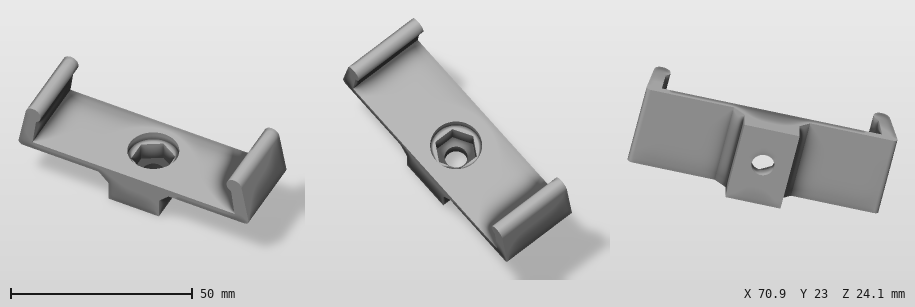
import cadquery as cq
import math

length = 70.9
width = 23.0
height = 24.1

floor_bottom = 9.0
floor_thickness = 2.35
floor_top = floor_bottom + floor_thickness
foot_length = 15.6
foot_flare = 3.0

corner_radius = 1.3
bead_radius = 2.35
bead_x = 31.0
bead_z = height - bead_radius
arm_inner_base_x = 31.1
arm_inner_top_x = 29.8

fastener_y = 0.5
screw_diameter = 6.3
nut_across_flats = 10.55
nut_depth = 5.45
recess_diameter = 14.3
recess_depth = 2.6


def extrude_across_width(profile):
    return profile.extrude(width / 2, both=True)


def point_on_circle(center_x, center_z, radius, angle):
    return (center_x + radius * math.cos(angle), center_z + radius * math.sin(angle))


def make_arm():
    """Right-hand arm: its outer face is tangent to both the lower corner and the bead."""
    corner_x = length / 2 - corner_radius
    corner_z = floor_bottom + corner_radius
    run_x = bead_x - corner_x
    run_z = bead_z - corner_z
    radius_change = bead_radius - corner_radius
    normal = math.atan2(run_z, run_x) - math.acos(-radius_change / math.hypot(run_x, run_z))
    corner_middle = (normal - math.pi / 2) / 2
    web = (
        cq.Workplane("XZ")
        .moveTo(arm_inner_base_x, floor_bottom)
        .lineTo(corner_x, floor_bottom)
        .threePointArc(
            point_on_circle(corner_x, corner_z, corner_radius, corner_middle),
            point_on_circle(corner_x, corner_z, corner_radius, normal),
        )
        .lineTo(*point_on_circle(bead_x, bead_z, bead_radius, normal))
        .lineTo(bead_x, bead_z)
        .lineTo(arm_inner_top_x, bead_z)
        .lineTo(arm_inner_base_x, floor_top)
        .close()
    )
    bead = cq.Workplane("XZ").center(bead_x, bead_z).circle(bead_radius)
    return extrude_across_width(web).union(extrude_across_width(bead))


def make_floor_and_foot():
    """Flat floor carried by a rectangular foot that flares out where they meet."""
    half_foot = foot_length / 2
    half_flare = half_foot + foot_flare
    profile = cq.Workplane("XZ").polyline([
        (-half_foot, 0),
        (half_foot, 0),
        (half_foot, floor_bottom - foot_flare),
        (half_flare, floor_bottom),
        (arm_inner_base_x, floor_bottom),
        (arm_inner_base_x, floor_top),
        (-arm_inner_base_x, floor_top),
        (-arm_inner_base_x, floor_bottom),
        (-half_flare, floor_bottom),
        (-half_foot, floor_bottom - foot_flare),
    ]).close()
    return extrude_across_width(profile)


def make_fastener_cavity():
    """Stepped cavity: round recess, then nut pocket, then a through screw hole."""
    recess_floor = floor_top - recess_depth
    nut_floor = recess_floor - nut_depth
    nut_across_corners = nut_across_flats / math.cos(math.pi / 6)
    screw = cq.Workplane("XY").circle(screw_diameter / 2).extrude(floor_top)
    nut = (
        cq.Workplane("XY", origin=(0, 0, nut_floor))
        .transformed(rotate=(0, 0, 90))
        .polygon(6, nut_across_corners)
        .extrude(nut_depth)
    )
    recess = (
        cq.Workplane("XY", origin=(0, 0, recess_floor))
        .circle(recess_diameter / 2)
        .extrude(recess_depth)
    )
    return screw.union(nut).union(recess)


arm = make_arm()
body = make_floor_and_foot().union(arm).union(arm.mirror("YZ"))
result = body.cut(make_fastener_cavity().translate((0, fastener_y, 0)))